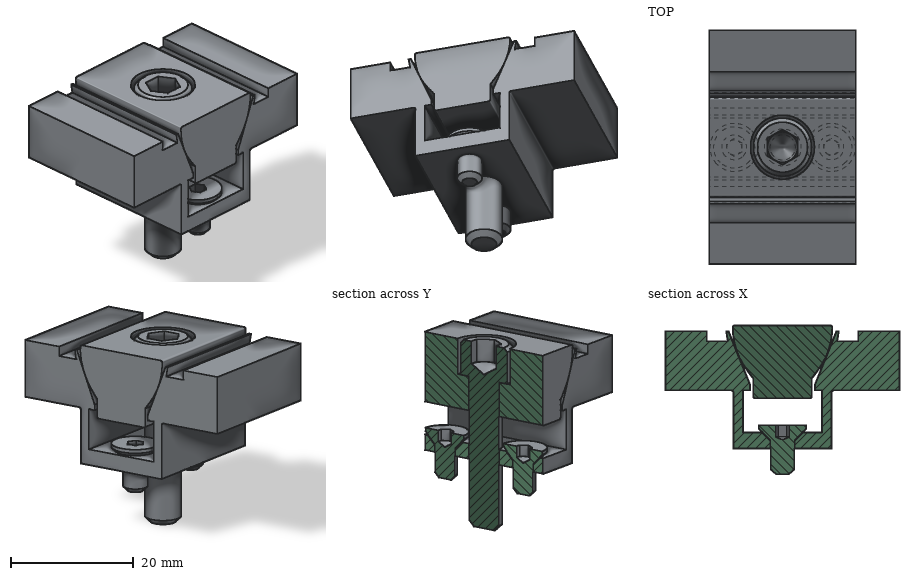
import cadquery as cq
import math

LENGTH = 23.9
WIDTH = 38.1
FLOOR_THICKNESS = 2.65
TROUGH_HALF_WIDTH = 8.0
CAVITY_HALF_WIDTH = 6.4
WING_BOTTOM = 9.5
WING_TOP = 19.13
WING_ROOT_RADIUS = 0.4
LIP_HEIGHT = 0.95

GROOVE_DEPTH = 1.6
GROOVE_OUTER = 12.3
GROOVE_INNER = 8.9
TOOTH_OUTER = 9.2

WEDGE_TOP = 20.08
WEDGE_BOTTOM = 8.2
WEDGE_HALF_WIDTH = 8.1
FOOT_HALF_WIDTH = 4.8
WEDGE_CORNER_RADIUS = 0.4
CROWN_RADIUS = 11.43
CROWN_END_ANGLE = math.radians(37)
FLANK_ANGLE = math.radians(22)

OVERALL_HEIGHT = 31.35
SCREW_BOTTOM = WEDGE_TOP - OVERALL_HEIGHT
SCREW_RADIUS = 3.0
SCREW_TIP_CHAMFER = 0.95
HEAD_RADIUS = 4.72
HEAD_HEIGHT = 6.02
HEAD_CHAMFER = 0.65
COUNTERBORE_RADIUS = 5.22
SCREW_SOCKET_FLATS = 4.95
SCREW_SOCKET_DEPTH = 3.8
DRILL_POINT_ANGLE = math.radians(60)

PIN_COUNT = 2
PIN_SPACING = 15.8
PIN_RADIUS = 2.02
PIN_BOTTOM = -4.2
PIN_TIP_CHAMFER = 0.8
PIN_HEAD_RADIUS = 3.92
PIN_HEAD_TOP = 3.85
PIN_HEAD_RIM = 0.6
PIN_SOCKET_FLATS = 2.5
PIN_SOCKET_DEPTH = 1.9

CROWN_CENTER_Y = WEDGE_HALF_WIDTH - CROWN_RADIUS
CROWN_CENTER_Z = WEDGE_TOP - WEDGE_CORNER_RADIUS


def crown_point(angle):
    """Point (y, z) on the crown arc, with the angle measured downwards from horizontal."""
    return (
        CROWN_CENTER_Y + CROWN_RADIUS * math.cos(angle),
        CROWN_CENTER_Z - CROWN_RADIUS * math.sin(angle),
    )


def flank_y(z):
    """Distance of the channel flank from the middle plane at height z."""
    contact_y, contact_z = crown_point(FLANK_ANGLE)
    return contact_y + (z - contact_z) * math.tan(FLANK_ANGLE)


def extrude_along_length(half_outline):
    """Close a half section on the middle plane, extrude it along X and mirror it across Y."""
    half = half_outline.close().extrude(LENGTH / 2, both=True)
    return half.union(half.mirror("XZ"))


def make_shaft(profile):
    """Turn a list of (radius, z) points around the Z axis, closing the profile on the axis."""
    return cq.Workplane("XZ").polyline(profile).close().revolve(360, (0, 0, 0), (0, 1, 0))


def hex_socket(flats, depth, top):
    """Hexagonal socket with two flats facing X, ending in a drill point."""
    inner_radius = flats / 2
    corner_diameter = flats / math.cos(math.pi / 6)
    floor = top - depth
    hexagon = (
        cq.Workplane("XY", origin=(0, 0, floor))
        .transformed(rotate=(0, 0, 90))
        .polygon(6, corner_diameter)
        .extrude(depth)
    )
    point_depth = inner_radius / math.tan(DRILL_POINT_ANGLE)
    drill_point = make_shaft([(0, floor), (inner_radius, floor), (0, floor - point_depth)])
    return hexagon.union(drill_point)


def make_screw_blank():
    """Clamping screw without its socket."""
    head_bottom = WEDGE_TOP - HEAD_HEIGHT
    return make_shaft([
        (0, SCREW_BOTTOM),
        (SCREW_RADIUS - SCREW_TIP_CHAMFER, SCREW_BOTTOM),
        (SCREW_RADIUS, SCREW_BOTTOM + SCREW_TIP_CHAMFER),
        (SCREW_RADIUS, head_bottom),
        (HEAD_RADIUS, head_bottom),
        (HEAD_RADIUS, WEDGE_TOP - HEAD_CHAMFER),
        (HEAD_RADIUS - HEAD_CHAMFER, WEDGE_TOP),
        (0, WEDGE_TOP),
    ])


def make_screw():
    return make_screw_blank().cut(hex_socket(SCREW_SOCKET_FLATS, SCREW_SOCKET_DEPTH, WEDGE_TOP))


def make_pin_blank():
    """Countersunk screw without its socket, standing on the Z axis."""
    rim_bottom = PIN_HEAD_TOP - PIN_HEAD_RIM
    cone_bottom = rim_bottom - (PIN_HEAD_RADIUS - PIN_RADIUS)
    return make_shaft([
        (0, PIN_BOTTOM),
        (PIN_RADIUS - PIN_TIP_CHAMFER, PIN_BOTTOM),
        (PIN_RADIUS, PIN_BOTTOM + PIN_TIP_CHAMFER),
        (PIN_RADIUS, cone_bottom),
        (PIN_HEAD_RADIUS, rim_bottom),
        (PIN_HEAD_RADIUS, PIN_HEAD_TOP),
        (0, PIN_HEAD_TOP),
    ])


def make_pin(x):
    socket = hex_socket(PIN_SOCKET_FLATS, PIN_SOCKET_DEPTH, PIN_HEAD_TOP)
    return make_pin_blank().cut(socket).translate((x, 0, 0))


def make_wedge():
    crown_mid = crown_point(CROWN_END_ANGLE / 2)
    crown_end = crown_point(CROWN_END_ANGLE)
    shoulder_z = crown_end[1] - (crown_end[0] - FOOT_HALF_WIDTH) / math.tan(CROWN_END_ANGLE)
    half_outline = (
        cq.Workplane("YZ")
        .moveTo(0, WEDGE_TOP)
        .lineTo(WEDGE_HALF_WIDTH - WEDGE_CORNER_RADIUS, WEDGE_TOP)
        .radiusArc((WEDGE_HALF_WIDTH, CROWN_CENTER_Z), WEDGE_CORNER_RADIUS)
        .threePointArc(crown_mid, crown_end)
        .lineTo(FOOT_HALF_WIDTH, shoulder_z)
        .lineTo(FOOT_HALF_WIDTH, WEDGE_BOTTOM + WEDGE_CORNER_RADIUS)
        .radiusArc((FOOT_HALF_WIDTH - WEDGE_CORNER_RADIUS, WEDGE_BOTTOM), WEDGE_CORNER_RADIUS)
        .lineTo(0, WEDGE_BOTTOM)
    )
    counterbore = (
        cq.Workplane("XY", origin=(0, 0, WEDGE_TOP))
        .circle(COUNTERBORE_RADIUS)
        .extrude(-HEAD_HEIGHT)
    )
    return extrude_along_length(half_outline).cut(counterbore).cut(make_screw_blank())


def make_channel(pin_places):
    lip_top = WING_BOTTOM + LIP_HEIGHT
    lip_y = flank_y(lip_top)
    groove_floor = WING_TOP - GROOVE_DEPTH
    half_outline = (
        cq.Workplane("YZ")
        .moveTo(0, 0)
        .lineTo(TROUGH_HALF_WIDTH, 0)
        .lineTo(TROUGH_HALF_WIDTH, WING_BOTTOM - WING_ROOT_RADIUS)
        .radiusArc((TROUGH_HALF_WIDTH + WING_ROOT_RADIUS, WING_BOTTOM), WING_ROOT_RADIUS)
        .lineTo(WIDTH / 2, WING_BOTTOM)
        .lineTo(WIDTH / 2, WING_TOP)
        .lineTo(GROOVE_OUTER, WING_TOP)
        .lineTo(GROOVE_OUTER, groove_floor)
        .lineTo(GROOVE_INNER, groove_floor)
        .lineTo(TOOTH_OUTER, WING_TOP)
        .lineTo(flank_y(WING_TOP), WING_TOP)
        .lineTo(lip_y, lip_top)
        .lineTo(lip_y, WING_BOTTOM)
        .lineTo(CAVITY_HALF_WIDTH, WING_BOTTOM)
        .lineTo(CAVITY_HALF_WIDTH, FLOOR_THICKNESS)
        .lineTo(0, FLOOR_THICKNESS)
    )
    channel = extrude_along_length(half_outline).cut(make_screw_blank())
    for x in pin_places:
        channel = channel.cut(make_pin_blank().translate((x, 0, 0)))
    return channel


pin_places = [(i - (PIN_COUNT - 1) / 2) * PIN_SPACING for i in range(PIN_COUNT)]

channel = make_channel(pin_places)
wedge = make_wedge()
screw = make_screw()
pins = [make_pin(x) for x in pin_places]

result = cq.Compound.makeCompound([
    channel.solids().val(),
    wedge.solids().val(),
    screw.solids().val(),
    *[pin.solids().val() for pin in pins],
])